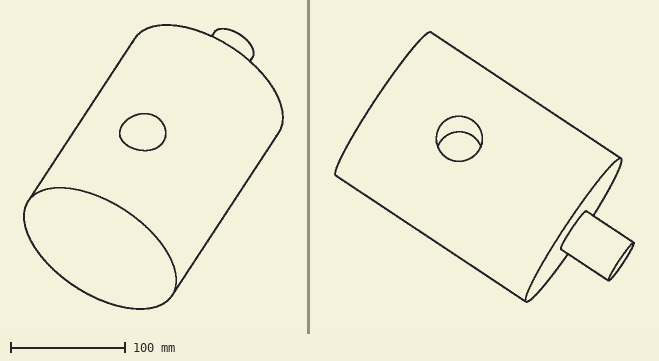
import cadquery as cq

body_diameter = 150.0
body_length = 200.0
shaft_diameter = 40.0
shaft_length = 50.0
hole_diameter = 40.0
hole_from_front = 80.0

body_radius = body_diameter / 2
hole_depth = body_radius


def cylinder_along_y(diameter, y_start, length):
    """Solid cylinder on the Y axis, running from y_start towards +Y."""
    return (
        cq.Workplane("XZ", origin=(0, y_start, 0))
        .circle(diameter / 2)
        .extrude(-length)
    )


def radial_hole():
    """Cutter for the blind hole drilled down from the top of the body."""
    return (
        cq.Workplane("XY", origin=(0, hole_from_front, body_radius))
        .circle(hole_diameter / 2)
        .extrude(-hole_depth)
    )


body = cylinder_along_y(body_diameter, 0, body_length)
shaft = cylinder_along_y(shaft_diameter, body_length, shaft_length)

result = body.union(shaft).cut(radial_hole())